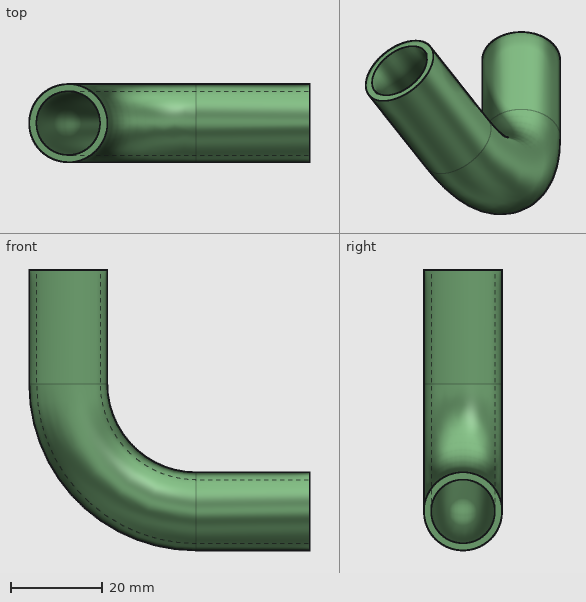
import cadquery as cq

overall_length = 61.6
outer_diameter = 17.2
wall_thickness = 1.6
straight_length = 25.0

outer_radius = outer_diameter / 2
inner_radius = outer_radius - wall_thickness
bend_radius = overall_length - outer_radius - straight_length


def elbow_centreline():
    """Path down the vertical leg, round the quarter bend and out along +X."""
    return (
        cq.Workplane("XZ")
        .moveTo(0, bend_radius + straight_length)
        .lineTo(0, bend_radius)
        .radiusArc((bend_radius, 0), -bend_radius)
        .lineTo(bend_radius + straight_length, 0)
    )


def tube_section():
    """Annular tube section at the top of the vertical leg."""
    return (
        cq.Workplane("XY", origin=(0, 0, bend_radius + straight_length))
        .circle(outer_radius)
        .circle(inner_radius)
    )


result = tube_section().sweep(elbow_centreline())